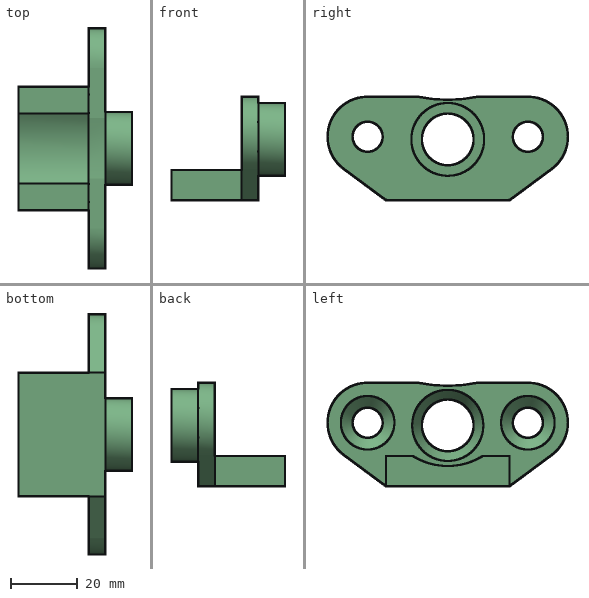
import cadquery as cq
import math

overall_width = 71.95
overall_height = 31.0
plate_thickness = 5.0
end_radius = 12.0
end_y = overall_width / 2 - end_radius
end_z = overall_height - end_radius

shelf_length = 21.0
shelf_width = 37.0
shelf_height = 9.1
groove_width = 21.0
groove_depth = 3.0

dip_width = 18.0
dip_depth = 0.9

boss_diameter = 21.8
boss_length = 8.0
bore_z = 18.2
bore_diameter = 15.4
bore_mouth_diameter = 21.3
bore_mouth_depth = plate_thickness

screw_diameter = 8.9
screw_mouth_diameter = 16.05
screw_mouth_depth = (screw_mouth_diameter - screw_diameter) / 2

plate_front_x = shelf_length
plate_back_x = plate_front_x + plate_thickness

overlap = 0.7


def end_point(angle):
    """Point on the rounded +Y end of the plate."""
    return end_y + end_radius * math.cos(angle), end_z + end_radius * math.sin(angle)


def mirrored(point):
    return -point[0], point[1]


def make_plate():
    half_base = shelf_width / 2
    offset_y = half_base - end_y
    corner_distance = math.hypot(offset_y, end_z)
    corner_angle = math.atan2(-end_z, offset_y)
    tangent_angle = corner_angle + math.acos(end_radius / corner_distance)
    middle_angle = (tangent_angle + math.pi / 2) / 2
    tangent = end_point(tangent_angle)
    middle = end_point(middle_angle)
    top = end_point(math.pi / 2)
    return (
        cq.Workplane("YZ", origin=(plate_front_x, 0, 0))
        .moveTo(-half_base, 0)
        .lineTo(half_base, 0)
        .lineTo(*tangent)
        .threePointArc(middle, top)
        .lineTo(dip_width / 2, overall_height)
        .threePointArc((0, overall_height - dip_depth), (-dip_width / 2, overall_height))
        .lineTo(*mirrored(top))
        .threePointArc(mirrored(middle), mirrored(tangent))
        .close()
        .extrude(plate_thickness)
    )


def make_shelf():
    """Rectangular shelf with a shallow round groove along its top."""
    half_width = shelf_width / 2
    half_groove = groove_width / 2
    return (
        cq.Workplane("YZ")
        .moveTo(-half_width, 0)
        .lineTo(half_width, 0)
        .lineTo(half_width, shelf_height)
        .lineTo(half_groove, shelf_height)
        .threePointArc((0, shelf_height - groove_depth), (-half_groove, shelf_height))
        .lineTo(-half_width, shelf_height)
        .close()
        .extrude(shelf_length + overlap)
    )


def make_boss():
    return (
        cq.Workplane("YZ", origin=(plate_back_x - overlap, 0, bore_z))
        .circle(boss_diameter / 2)
        .extrude(boss_length + overlap)
    )


def countersunk_hole(y, z, diameter, mouth_diameter, mouth_depth, length):
    """Cutter for a hole with a conical mouth on the plate's front face."""
    radius = diameter / 2
    direction = cq.Vector(1, 0, 0)
    start = cq.Vector(plate_front_x, y, z)
    hole = cq.Solid.makeCylinder(radius, length, start, direction)
    mouth = cq.Solid.makeCone(mouth_diameter / 2, radius, mouth_depth, start, direction)
    return hole.fuse(mouth)


def make_bore():
    return countersunk_hole(
        0, bore_z, bore_diameter, bore_mouth_diameter, bore_mouth_depth, plate_thickness + boss_length
    )


def make_screw_hole(y):
    return countersunk_hole(
        y, end_z, screw_diameter, screw_mouth_diameter, screw_mouth_depth, plate_thickness
    )


result = make_plate().union(make_shelf()).union(make_boss())
result = result.cut(make_bore())
for screw_y in (-end_y, end_y):
    result = result.cut(make_screw_hole(screw_y))